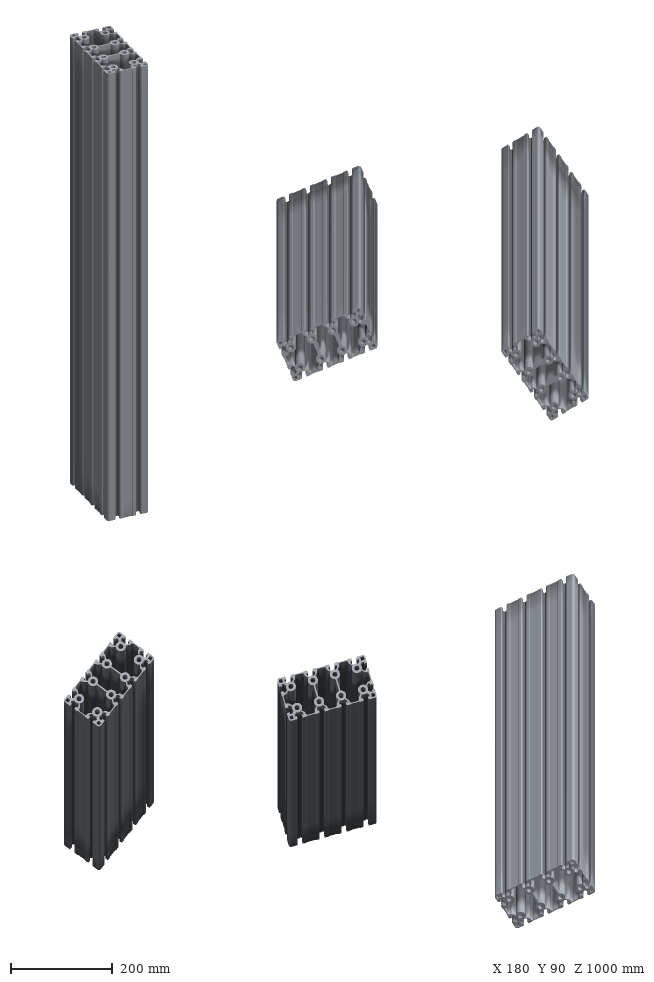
import cadquery as cq
import math

LENGTH = 1000.0
MODULE = 45.0
COLUMNS = 4
ROWS = 2
WIDTH = COLUMNS * MODULE
DEPTH = ROWS * MODULE
CORNER_RADIUS = 5.0

SLOT_OPENING = 10.0
LIP_CHAMFER = 1.0
LIP_THICKNESS = 6.0
UNDERCUT_WIDTH = 17.0
UNDERCUT_DEPTH = 10.0
SLOT_FLOOR_WIDTH = 7.0
SLOT_DEPTH = 15.0

RECESS_DEPTH = 1.0
RECESS_MOUTH = 20.0
RECESS_FLOOR = 17.0

CAVITY_INSET = 3.0
NOOK_WIDTH = 19.0
NOOK_DEPTH = 9.0
CAVITY_ROUNDING = 4.0

CORE_DIAMETER = 20.0
BORE_DIAMETER = 10.0
RIB_THICKNESS = 3.0
CORNER_WALL = 3.0
CORNER_VOID = 7.0
VOID_ROUNDING = 1.0

SIDES = [
    (0, DEPTH / 2, COLUMNS),
    (90, WIDTH / 2, ROWS),
    (180, DEPTH / 2, COLUMNS),
    (270, WIDTH / 2, ROWS),
]


def module_centres(count):
    """Module centres along one axis, centred on zero."""
    return [(i - (count - 1) / 2) * MODULE for i in range(count)]


def extrude(outline):
    """Full-length solid, centred on the XY plane, from a closed outline."""
    return outline.extrude(LENGTH / 2, both=True)


def prism(points):
    return extrude(cq.Workplane("XY").polyline(points).close())


def cylinders(centres, diameter):
    return extrude(cq.Workplane("XY").pushPoints(centres).circle(diameter / 2))


def groove(half_outline):
    """Symmetric cutter for a +Y face at the origin, from (half width, depth) pairs."""
    right = [(half_width, -depth) for half_width, depth in half_outline]
    left = [(-x, y) for x, y in reversed(right)]
    return prism(right + left)


def cut_groove(body, cutter, side, across):
    """Cut a groove into one side of the body, at a distance across from the middle of that side."""
    angle, face_distance, _ = side
    placed = cutter.translate((across, face_distance, 0)).rotate((0, 0, 0), (0, 0, 1), angle)
    return body.cut(placed)


def cavity():
    """Central cavity: its outline zigzags between the core centres and the nooks at the walls."""
    half_nook = NOOK_WIDTH / 2
    nook = [
        (half_nook, NOOK_DEPTH),
        (half_nook, CAVITY_INSET),
        (-half_nook, CAVITY_INSET),
        (-half_nook, NOOK_DEPTH),
    ]
    points = []
    for angle, face_distance, count in SIDES:
        cosine = math.cos(math.radians(angle))
        sine = math.sin(math.radians(angle))
        for core in module_centres(count)[:0:-1]:
            stretch = [(core, face_distance - MODULE / 2)]
            for offset, depth in nook:
                stretch.append((core - MODULE / 2 + offset, face_distance - depth))
            points += [(u * cosine - v * sine, u * sine + v * cosine) for u, v in stretch]
    return prism(points).edges("|Z").fillet(CAVITY_ROUNDING)


def corner_voids():
    inset = CORNER_WALL + CORNER_VOID / 2
    corners = cq.Workplane("XY").rect(WIDTH - 2 * inset, DEPTH - 2 * inset, forConstruction=True).vertices()
    return extrude(corners.rect(CORNER_VOID, CORNER_VOID)).edges("|Z").fillet(VOID_ROUNDING)


slot = groove([
    (SLOT_OPENING / 2 + LIP_CHAMFER, 0),
    (SLOT_OPENING / 2, LIP_CHAMFER),
    (SLOT_OPENING / 2, LIP_THICKNESS),
    (UNDERCUT_WIDTH / 2, LIP_THICKNESS),
    (UNDERCUT_WIDTH / 2, UNDERCUT_DEPTH),
    (SLOT_FLOOR_WIDTH / 2, SLOT_DEPTH),
])
recess = groove([
    (RECESS_MOUTH / 2, 0),
    (RECESS_FLOOR / 2, RECESS_DEPTH),
])

body = cq.Workplane("XY").box(WIDTH, DEPTH, LENGTH).edges("|Z").fillet(CORNER_RADIUS)
body = body.cut(cavity()).cut(corner_voids())

for side in SIDES:
    slot_places = module_centres(side[2])
    for place in slot_places:
        body = cut_groove(body, slot, side, place)
    for place in slot_places[:-1]:
        body = cut_groove(body, recess, side, place + MODULE / 2)

core_centres = [(x, y) for x in module_centres(COLUMNS) for y in module_centres(ROWS)]
body = body.union(cylinders(core_centres, CORE_DIAMETER))
for x in module_centres(COLUMNS)[1:-1]:
    body = body.union(cq.Workplane("XY").center(x, 0).box(RIB_THICKNESS, MODULE, LENGTH))
result = body.cut(cylinders(core_centres, BORE_DIAMETER))